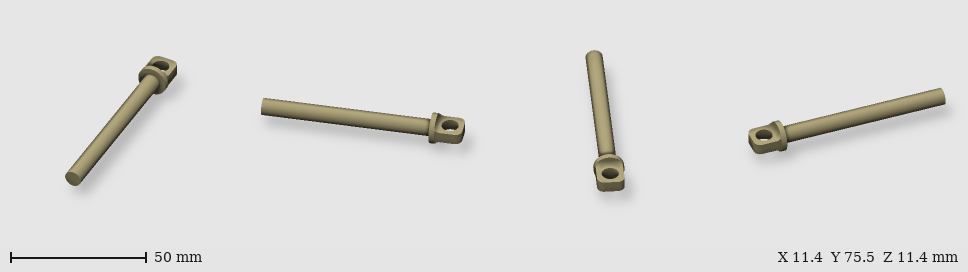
import cadquery as cq

total_length = 75.55
shaft_diameter = 6.35
flange_diameter = 11.4
flange_thickness = 2.05
eye_length = 10.05
eye_width = 10.1
eye_thickness = 4.4
eye_corner_radius = 2.6
hole_diameter = 6.35
hole_to_tip = 5.1
root_radius = 2.0

flange_back = total_length - eye_length
flange_front = flange_back - flange_thickness
hole_center = total_length - hole_to_tip


def cylinder_along_y(diameter, start, end):
    plane = cq.Workplane("XZ", origin=(0, start, 0))
    return plane.circle(diameter / 2).extrude(start - end)


def eye_blank():
    """Flat tab whose upper and lower faces flare into the flange with concave arcs."""
    half = eye_thickness / 2
    flare_start = flange_back + root_radius
    flare_half = half + root_radius
    arc_mid_offset = root_radius * (1 - 0.5 ** 0.5)
    profile = (
        cq.Workplane("YZ", origin=(-eye_width / 2, 0, 0))
        .moveTo(total_length, -half)
        .lineTo(total_length, half)
        .lineTo(flare_start, half)
        .threePointArc((flange_back + arc_mid_offset, half + arc_mid_offset), (flange_back, flare_half))
        .lineTo(flange_front, flare_half)
        .lineTo(flange_front, -flare_half)
        .lineTo(flange_back, -flare_half)
        .threePointArc((flange_back + arc_mid_offset, -half - arc_mid_offset), (flare_start, -half))
        .close()
    )
    tab = profile.extrude(eye_width)
    return tab.edges("|Z and >Y").fillet(eye_corner_radius)


def eye():
    """Tab trimmed to the flange outline and pierced by the cross hole."""
    trimmed = eye_blank().intersect(cylinder_along_y(flange_diameter, flange_front, total_length))
    hole = (
        cq.Workplane("XY", origin=(0, hole_center, 0))
        .circle(hole_diameter / 2)
        .extrude(flange_diameter / 2, both=True)
    )
    return trimmed.cut(hole)


shaft = cylinder_along_y(shaft_diameter, 0, flange_back)
flange = cylinder_along_y(flange_diameter, flange_front, flange_back)
result = shaft.union(flange).union(eye())